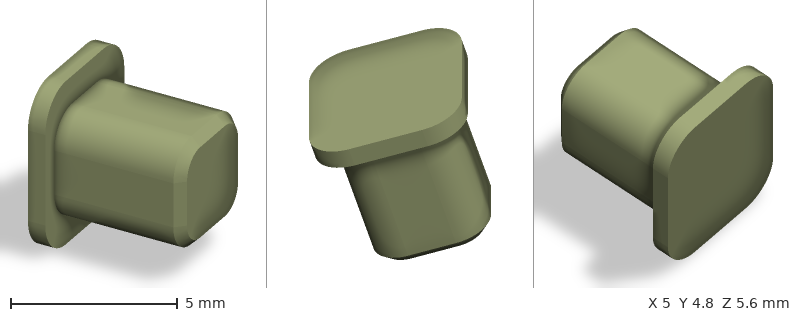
import cadquery as cq

flange_thickness = 0.6
flange_width = 4.8
flange_height = 5.6
flange_corner_radius = 1.25

total_length = 5.0
stem_side = 3.7
stem_corner_radius = 1.1
tip_chamfer = 0.3


def rounded_bar(length, width, height, corner_radius):
    """Bar running from X = 0 toward +X, with its four long edges rounded."""
    bar = cq.Workplane("XY").box(length, width, height, centered=(False, True, True))
    return bar.edges("|X").fillet(corner_radius)


flange = rounded_bar(flange_thickness, flange_width, flange_height, flange_corner_radius)

stem = rounded_bar(total_length, stem_side, stem_side, stem_corner_radius)
stem = stem.faces(">X").chamfer(tip_chamfer)

result = flange.union(stem)